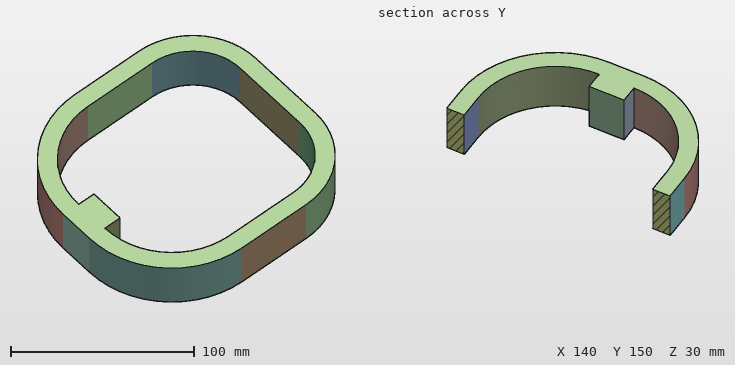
import cadquery as cq

width = 140.0
length = 150.0
height = 30.0
wall = 11.0
back_radius = 45.0

block_size = 2 * wall
front_radius = (width - block_size) / 2


def rounded_prism(inset):
    """Solid rounded outline, moved inward from the outer face by inset."""
    prism = cq.Workplane("XY").box(width - 2 * inset, length - 2 * inset, height)
    prism = prism.edges("|Z and >Y").fillet(back_radius - inset)
    return prism.edges("|Z and <Y").fillet(front_radius - inset)


ring = rounded_prism(0).cut(rounded_prism(wall))

block_center_y = (block_size - length) / 2
block = cq.Workplane("XY").box(block_size, block_size, height).translate((0, block_center_y, 0))

result = ring.union(block)